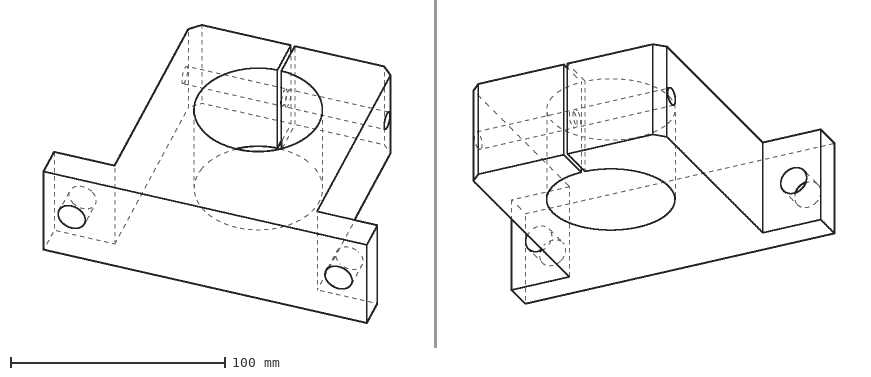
import cadquery as cq

base_width = 160.0
total_depth = 124.0
height = 48.0

flange_thickness = 15.0
mount_hole_diameter = 13.5
mount_hole_spacing = 132.0

block_width = 100.2
corner_chamfer = 5.0

bore_diameter = 60.0
bore_y = 75.0
slit_width = 2.0
screw_hole_diameter = 8.3
screw_edge_distance = 10.0


def make_body():
    """Flange and chamfered clamp block, with the front face at Y = 0 and the bottom at Z = 0."""
    flange = cq.Workplane("XY").box(
        base_width, flange_thickness, height, centered=(True, False, False)
    )
    block = (
        cq.Workplane("XY")
        .box(block_width, total_depth, height, centered=(True, False, False))
        .edges("|Z and >Y")
        .chamfer(corner_chamfer)
    )
    return flange.union(block)


def make_bore_and_slit():
    """Vertical shaft bore opened to the back face by a narrow slit."""
    bore = cq.Workplane("XY").center(0, bore_y).circle(bore_diameter / 2).extrude(height)
    slit = (
        cq.Workplane("XY")
        .center(0, bore_y)
        .box(slit_width, total_depth - bore_y, height, centered=(True, False, False))
    )
    return bore.union(slit)


def make_mount_holes():
    """Two holes through the flange along Y, at mid height."""
    half_spacing = mount_hole_spacing / 2
    return (
        cq.Workplane("XZ", origin=(0, 0, height / 2))
        .pushPoints([(-half_spacing, 0), (half_spacing, 0)])
        .circle(mount_hole_diameter / 2)
        .extrude(-flange_thickness)
    )


def make_screw_hole():
    """Clamp screw hole along X through both jaws, at mid height."""
    screw_y = total_depth - screw_edge_distance
    return (
        cq.Workplane("YZ", origin=(0, screw_y, height / 2))
        .circle(screw_hole_diameter / 2)
        .extrude(block_width / 2, both=True)
    )


result = (
    make_body()
    .cut(make_bore_and_slit())
    .cut(make_mount_holes())
    .cut(make_screw_hole())
)